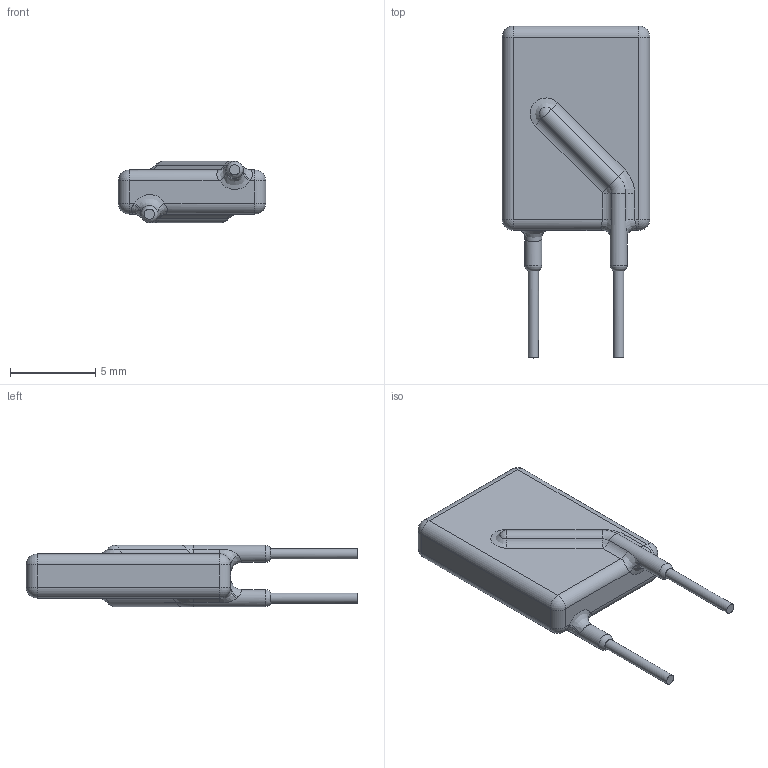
import cadquery as cq
import math

BODY_WIDTH = 8.66
BODY_LENGTH = 12.0
BODY_THICKNESS = 2.6
EDGE_RADIUS = BODY_THICKNESS / 4

LEAD_PITCH = 5.0
SLEEVE_DIAMETER = 1.0
SLEEVE_OVERHANG = 2.4
SLEEVE_TIP_RADIUS = 0.35
BEND_RADIUS = 1.0
BEND_ANGLE = math.radians(45)
CORNER_INSET = 2.585
SLANT_LENGTH = 6.0
WIRE_DIAMETER = 0.6
LEAD_OVERHANG = 7.48
BLEND_RADIUS = EDGE_RADIUS

SLEEVE_RADIUS = SLEEVE_DIAMETER / 2
FRONT_Y = -BODY_LENGTH / 2
LEAD_X = LEAD_PITCH / 2
LEAD_Z = BODY_THICKNESS / 2
SLEEVE_TIP_Y = FRONT_Y - SLEEVE_OVERHANG


def make_body():
    box = cq.Workplane("XY").box(BODY_WIDTH, BODY_LENGTH, BODY_THICKNESS)
    return box.edges().fillet(EDGE_RADIUS)


def front_facing_circle(diameter, y):
    """Circle on the lead axis, normal to Y."""
    return cq.Workplane("XZ", origin=(LEAD_X, y, LEAD_Z)).circle(diameter / 2)


def make_sleeve():
    """Upper sleeve: straight out of the front, bent over the top face, ending in a sphere."""
    corner_y = FRONT_Y + CORNER_INSET
    bend_start_y = corner_y - BEND_RADIUS * math.tan(BEND_ANGLE / 2)
    bend_centre_x = LEAD_X - BEND_RADIUS

    def on_bend(angle):
        x = bend_centre_x + BEND_RADIUS * math.cos(angle)
        y = bend_start_y + BEND_RADIUS * math.sin(angle)
        return x, y

    slant_end = (
        LEAD_X - SLANT_LENGTH * math.sin(BEND_ANGLE),
        corner_y + SLANT_LENGTH * math.cos(BEND_ANGLE),
    )
    path = (
        cq.Workplane("XY", origin=(0, 0, LEAD_Z))
        .moveTo(LEAD_X, SLEEVE_TIP_Y)
        .lineTo(LEAD_X, bend_start_y)
        .threePointArc(on_bend(BEND_ANGLE / 2), on_bend(BEND_ANGLE))
        .lineTo(*slant_end)
    )
    tube = front_facing_circle(SLEEVE_DIAMETER, SLEEVE_TIP_Y).sweep(path)
    tube = tube.faces("<Y").edges().fillet(SLEEVE_TIP_RADIUS)
    end = cq.Workplane("XY", origin=(*slant_end, LEAD_Z)).sphere(SLEEVE_RADIUS)
    return tube.union(end)


def make_wire():
    """Bare wire from the front face of the body to the lead tip."""
    return front_facing_circle(WIRE_DIAMETER, FRONT_Y).extrude(LEAD_OVERHANG)


def opposite(lead):
    """The same lead on the other face: half a turn about the Y axis."""
    return lead.rotate((0, 0, 0), (0, 1, 0), 180)


def is_shared_edge(edge, body, sleeve):
    """True where an edge lies on the skin of both the body and the sleeve."""
    tolerance = 1e-4
    point = cq.Vertex.makeVertex(*edge.positionAt(0.5).toTuple())
    return all(shell.distance(point) < tolerance for shell in (body, sleeve))


def add_sleeve(part, body, sleeve):
    """Join a sleeve to the part and blend the seam between them."""
    joined = part.union(sleeve)
    body_skin = body.val().Shells()[0]
    sleeve_skin = sleeve.val().Shells()[0]
    seam = [e for e in joined.edges().vals() if is_shared_edge(e, body_skin, sleeve_skin)]
    return joined.newObject(seam).fillet(BLEND_RADIUS)


body = make_body()
sleeve = make_sleeve()
wire = make_wire()

result = add_sleeve(body, body, sleeve)
result = add_sleeve(result, body, opposite(sleeve))
result = result.union(wire).union(opposite(wire))